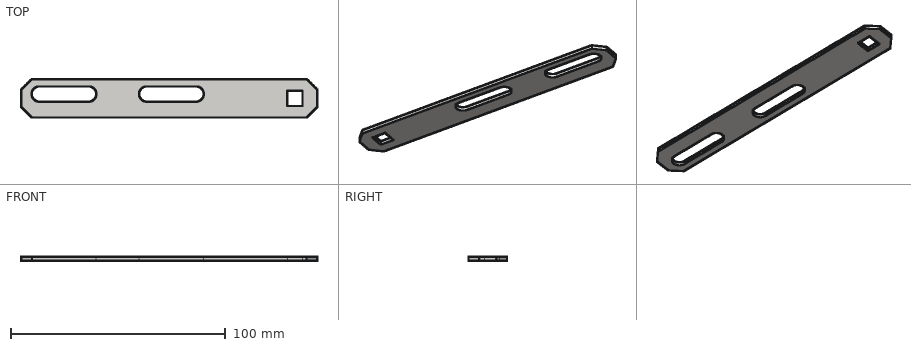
import cadquery as cq

length = 138.0
width = 18.0
thickness = 2.0
corner_chamfer = 5.0

slot_length = 30.0
slot_width = 7.0
slot_pitch = 50.0
slot_count = 2
slot_end_margin = 5.0
slot_offset_y = 2.0

square_side = 7.0
square_end_margin = 7.0


def make_plate():
    """Flat bar with its four corners cut off, centred on the origin."""
    plate = cq.Workplane("XY").box(length, width, thickness)
    return plate.edges("|Z").chamfer(corner_chamfer)


def cut_slots(plate):
    """Cut the row of through slots, starting from the -X end."""
    first_slot_x = -length / 2 + slot_end_margin + slot_length / 2
    centres = [(first_slot_x + i * slot_pitch, slot_offset_y) for i in range(slot_count)]
    return plate.faces(">Z").workplane().pushPoints(centres).slot2D(slot_length, slot_width).cutThruAll()


def cut_square_hole(plate):
    """Cut the square through hole."""
    square_x = length / 2 - square_end_margin - square_side / 2
    return plate.faces(">Z").workplane().center(square_x, 0).rect(square_side, square_side).cutThruAll()


result = cut_square_hole(cut_slots(make_plate()))